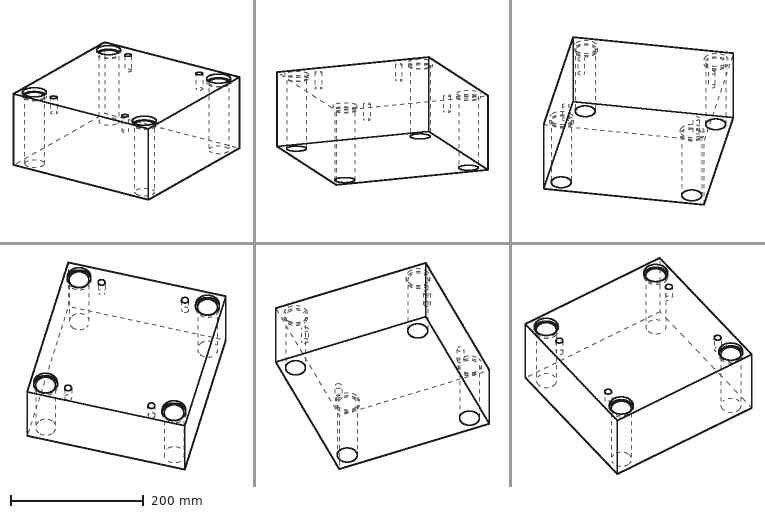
import cadquery as cq
import math

side = 245.7
height = 116.0

corner_offset = 100.0
bore_diameter = 30.0
counterbore_diameter = 36.0
counterbore_depth = 6.1

drill_offset_x = 64.9
drill_diameter = 10.3
drill_depth = 24.5
drill_point_angle = 118.0


def mirrored_points(x, y):
    """Four points placed symmetrically about the block centre."""
    return [(sx * x, sy * y) for sx in (-1, 1) for sy in (-1, 1)]


def drilled_hole():
    """Cutting tool with its mouth at the origin and a conical tip pointing down."""
    radius = drill_diameter / 2
    tip_length = radius / math.tan(math.radians(drill_point_angle / 2))
    return (
        cq.Workplane("XZ")
        .lineTo(radius, 0)
        .lineTo(radius, -drill_depth)
        .lineTo(0, -drill_depth - tip_length)
        .close()
        .revolve(360, (0, 0, 0), (0, 1, 0))
    )


result = cq.Workplane("XY").box(side, side, height, centered=(True, True, False))

result = (
    result.faces(">Z")
    .workplane()
    .pushPoints(mirrored_points(corner_offset, corner_offset))
    .cboreHole(bore_diameter, counterbore_diameter, counterbore_depth)
)

for x, y in mirrored_points(drill_offset_x, corner_offset):
    result = result.cut(drilled_hole().translate((x, y, height)))